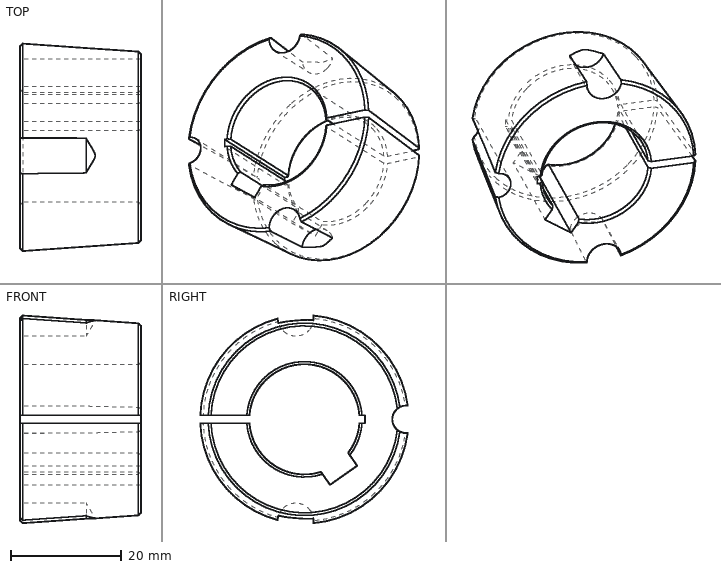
import cadquery as cq
import math

length = 22.0
large_radius = 19.0
taper_angle = 4.0
bore_radius = 10.0
chamfer = 0.5

slit_width = 1.4
relief_depth = 1.0

key_width = 6.0
key_floor = 12.4
key_angle = -55.0

screw_hole_radius = 3.25
screw_hole_depth = 12.0
drill_point_angle = 118.0
hole_circle_radius = 18.5
screw_hole_tilt = 5.0
screw_hole_y = -hole_circle_radius * math.sin(math.radians(screw_hole_tilt))
screw_hole_z = hole_circle_radius * math.cos(math.radians(screw_hole_tilt))

side_groove_radius = 2.5


def taper_radius(x):
    """Radius of the outer cone at the axial position x."""
    return large_radius - x * math.tan(math.radians(taper_angle))


def bush_body():
    """Revolved ring with a tapered outside, a straight bore and chamfered ends."""
    front = chamfer
    back = length - chamfer
    profile = [
        (0, bore_radius + chamfer),
        (0, taper_radius(front) - chamfer),
        (front, taper_radius(front)),
        (back, taper_radius(back)),
        (length, taper_radius(back) - chamfer),
        (length, bore_radius + chamfer),
        (back, bore_radius),
        (front, bore_radius),
    ]
    return cq.Workplane("XY").polyline(profile).close().revolve(360, (0, 0, 0), (1, 0, 0))


def radial_slot(width, reach, angle):
    """Full-length slot cutter from the axis out to reach, turned about X from +Y."""
    slot = cq.Workplane("XY").box(length, reach, width, centered=(False, False, True))
    return slot.rotate((0, 0, 0), (1, 0, 0), angle)


def screw_hole(z):
    """Drilled hole cutter along X from the large end, with a conical bottom."""
    point_length = screw_hole_radius / math.tan(math.radians(drill_point_angle / 2))
    half_section = [
        (0, 0),
        (0, screw_hole_radius),
        (screw_hole_depth, screw_hole_radius),
        (screw_hole_depth + point_length, 0),
    ]
    drill = cq.Workplane("XY").polyline(half_section).close().revolve(360, (0, 0, 0), (1, 0, 0))
    return drill.translate((0, screw_hole_y, z))


def side_groove():
    """Round groove cutter along the full length on the +Y side."""
    return cq.Workplane("YZ").center(hole_circle_radius, 0).circle(side_groove_radius).extrude(length)


result = bush_body()
result = result.cut(radial_slot(slit_width, large_radius, 180))
result = result.cut(radial_slot(slit_width, bore_radius + relief_depth, 0))
result = result.cut(radial_slot(key_width, key_floor, key_angle))
for hole_z in (screw_hole_z, -screw_hole_z):
    result = result.cut(screw_hole(hole_z))
result = result.cut(side_groove())